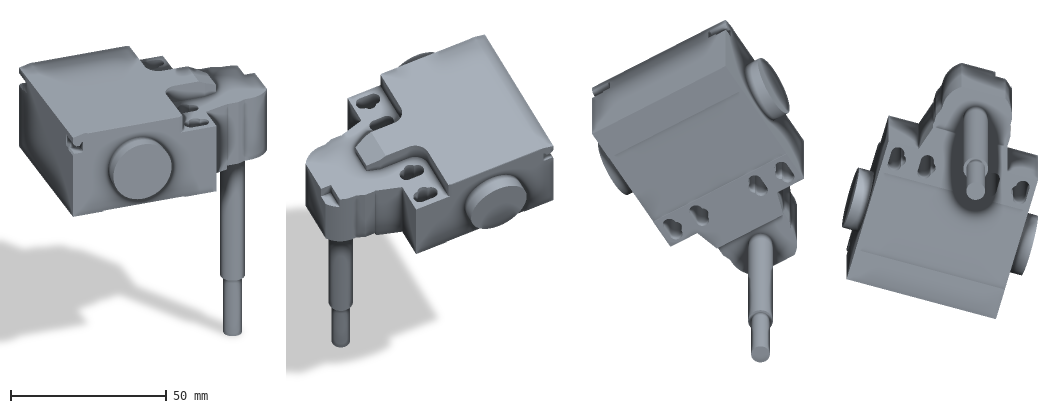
import cadquery as cq


HOUSING_WIDTH = 50.1
HOUSING_HEIGHT = 30.1
SHOULDER_Y = 49.4
LEDGE_Z = 24.0
LEDGE_Y = 37.7

NECK_ROOT_WIDTH = 29.9
NECK_END_WIDTH = 25.0
NECK_END_Y = 57.6

TONGUE_WIDTH = 10.7
TONGUE_TIP_WIDTH = 8.2
TONGUE_TAPER_Y = 52.6
TONGUE_END_Y = 56.9
TONGUE_FILLET = 4.7
SLOPE_START_Y = 50.6
SLOPE_DROP = 3.1
COVER_CORNER_LENGTH = 1.0
COVER_CORNER_INSET = 0.3
COVER_EDGE_START_Y = 5.0
COVER_EDGE_DROP = 0.3
COVER_EDGE_INSET = 0.1

FRONT_BEVEL_LENGTH = 3.8
FRONT_BEVEL_DROP = 1.0
UNDERSIDE_START_Y = 10.5
UNDERSIDE_END_Y = 38.5
UNDERSIDE_DEPTH = 0.3

SLOT_WIDTH = 4.3
SLOT_LENGTH = 8.3
SLOT_Y = 44.0
SLOT_X = (11.0, 21.0)
SLOT_BULGE_OFFSET = SLOT_WIDTH / 4

NOTCH_INNER_X = 21.0
RAMP_INNER_X = 18.3
LIP_INNER_X = 19.1
NOTCH_DEPTH = 3.5
NOTCH_TOP_DROP = 3.0
NOTCH_FLOOR_DROP = 6.9
NOTCH_REAR_BEVEL = 0.3
NOTCH_SILL_LENGTH = 0.5
NOTCH_SILL_DROP = 0.6
RAMP_DEPTH = 1.2
LIP_BOTTOM_DROP = 4.3
LIP_REAR_TOP_Y = 3.1
LIP_REAR_BOTTOM_Y = 2.3
LIP_KNEE_Y = 0.4
LIP_KNEE_DROP = 3.7

PLUG_DIAMETER = 20.0
PLUG_LENGTH = 5.0
PLUG_Y = 22.1
PLUG_Z = HOUSING_HEIGHT / 2

HEAD_BOTTOM_Z = 1.4
HEAD_END_Y = 73.2
HEAD_BASE_WIDTH = NECK_END_WIDTH
HEAD_BASE_END_Y = 61.5
HEAD_WAIST_WIDTH = 22.8
HEAD_WAIST_START_Y = 64.1
HEAD_WAIST_END_Y = 65.6
HEAD_END_WIDTH = 14.6
HEAD_BEVEL_LENGTH = 0.5
HEAD_BEVEL_INSET = 0.2
HEAD_NOTCH_X = -4.0
HEAD_NOTCH_Y = 69.7
HEAD_NOTCH_DEPTH = 4.1

SPINDLE_Y = HEAD_WAIST_START_Y
SPINDLE_DIAMETER = 8.0
SPINDLE_STEP_Z = -46.6
SPINDLE_TIP_DIAMETER = 6.1
TOTAL_HEIGHT = 97.6
SPINDLE_TIP_Z = HOUSING_HEIGHT - TOTAL_HEIGHT


def extrude_across(points, x_start, x_end):
    """Prism with a (Y, Z) outline that runs along X from x_start to x_end."""
    return cq.Workplane("YZ", origin=(x_start, 0, 0)).polyline(points).close().extrude(x_end - x_start)


def housing_block():
    """Block with the tapered neck, cut down to the ledge height."""
    half = HOUSING_WIDTH / 2
    root = NECK_ROOT_WIDTH / 2
    end = NECK_END_WIDTH / 2
    outline = [
        (-half, 0),
        (half, 0),
        (half, SHOULDER_Y),
        (root, SHOULDER_Y),
        (end, NECK_END_Y),
        (-end, NECK_END_Y),
        (-root, SHOULDER_Y),
        (-half, SHOULDER_Y),
    ]
    return cq.Workplane("XY").polyline(outline).close().extrude(LEDGE_Z)


def cover():
    """Raised cover with a filleted tongue that narrows and slopes down at its tip."""
    half = HOUSING_WIDTH / 2
    side = TONGUE_WIDTH / 2
    tip = TONGUE_TIP_WIDTH / 2
    outline = [
        (-half, 0),
        (half, 0),
        (half, LEDGE_Y - COVER_CORNER_LENGTH),
        (half - COVER_CORNER_INSET, LEDGE_Y),
        (side, LEDGE_Y),
        (side, TONGUE_TAPER_Y),
        (tip, TONGUE_END_Y),
        (-tip, TONGUE_END_Y),
        (-side, TONGUE_TAPER_Y),
        (-side, LEDGE_Y),
        (-half + COVER_CORNER_INSET, LEDGE_Y),
        (-half, LEDGE_Y - COVER_CORNER_LENGTH),
    ]
    plate = cq.Workplane("XY", origin=(0, 0, LEDGE_Z)).polyline(outline).close()
    plate = plate.extrude(HOUSING_HEIGHT - LEDGE_Z)
    for x in (-side, side):
        corner = cq.selectors.NearestToPointSelector((x, LEDGE_Y, (LEDGE_Z + HOUSING_HEIGHT) / 2))
        plate = plate.edges("|Z").edges(corner).fillet(TONGUE_FILLET)
    slope = [
        (SLOPE_START_Y, HOUSING_HEIGHT),
        (TONGUE_END_Y, HOUSING_HEIGHT),
        (TONGUE_END_Y, HOUSING_HEIGHT - SLOPE_DROP),
    ]
    return plate.cut(extrude_across(slope, -side, side))


def front_bevel():
    outline = [
        (0, HOUSING_HEIGHT),
        (FRONT_BEVEL_LENGTH, HOUSING_HEIGHT),
        (0, HOUSING_HEIGHT - FRONT_BEVEL_DROP),
    ]
    return extrude_across(outline, -HOUSING_WIDTH / 2, HOUSING_WIDTH / 2)


def cover_edge_bevel(side):
    """Fine bevel along one upper side edge of the cover."""
    edge_x = side * HOUSING_WIDTH / 2
    outline = [
        (edge_x, HOUSING_HEIGHT),
        (edge_x - side * COVER_EDGE_INSET, HOUSING_HEIGHT),
        (edge_x, HOUSING_HEIGHT - COVER_EDGE_DROP),
    ]
    profile = cq.Workplane("XZ", origin=(0, COVER_EDGE_START_Y, 0)).polyline(outline).close()
    return profile.extrude(COVER_EDGE_START_Y - LEDGE_Y)


def underside_recess():
    outline = [
        (UNDERSIDE_START_Y, 0),
        (UNDERSIDE_END_Y, 0),
        (UNDERSIDE_END_Y, UNDERSIDE_DEPTH),
        (UNDERSIDE_START_Y, UNDERSIDE_DEPTH),
    ]
    return extrude_across(outline, -HOUSING_WIDTH / 2, HOUSING_WIDTH / 2)


def mounting_slot(x, side):
    slot = cq.Workplane("XY").center(side * x, SLOT_Y).slot2D(SLOT_LENGTH, SLOT_WIDTH, 90).extrude(LEDGE_Z)
    bulge = cq.Workplane("XY").center(side * (x - SLOT_BULGE_OFFSET), SLOT_Y).circle(SLOT_WIDTH / 2)
    return slot.union(bulge.extrude(LEDGE_Z))


def pry_notch():
    """Notch in the left front corner, with a ramp beside it and the cover lip left standing."""
    top = HOUSING_HEIGHT - NOTCH_TOP_DROP
    floor = HOUSING_HEIGHT - NOTCH_FLOOR_DROP
    lip_bottom = HOUSING_HEIGHT - LIP_BOTTOM_DROP
    notch_outline = [
        (0, top),
        (0, floor - NOTCH_SILL_DROP),
        (NOTCH_SILL_LENGTH, floor),
        (NOTCH_DEPTH - NOTCH_REAR_BEVEL, floor),
        (NOTCH_DEPTH, floor + NOTCH_REAR_BEVEL),
        (NOTCH_DEPTH, top),
    ]
    ramp_outline = [
        (0, top),
        (0, floor),
        (RAMP_DEPTH, lip_bottom),
        (RAMP_DEPTH, top),
    ]
    lip_outline = [
        (0, top),
        (LIP_KNEE_Y, HOUSING_HEIGHT - LIP_KNEE_DROP),
        (RAMP_DEPTH, lip_bottom),
        (LIP_REAR_BOTTOM_Y, lip_bottom),
        (LIP_REAR_TOP_Y, top),
    ]
    notch = extrude_across(notch_outline, -HOUSING_WIDTH / 2, -NOTCH_INNER_X)
    ramp = extrude_across(ramp_outline, -NOTCH_INNER_X, -RAMP_INNER_X)
    lip = extrude_across(lip_outline, -HOUSING_WIDTH / 2, -LIP_INNER_X)
    return notch.union(ramp).cut(lip)


def make_housing():
    body = housing_block().union(cover())
    body = body.cut(front_bevel()).cut(underside_recess())
    for side in (-1, 1):
        body = body.cut(cover_edge_bevel(side))
        for x in SLOT_X:
            body = body.cut(mounting_slot(x, side))
    notch = pry_notch()
    return body.cut(notch).cut(notch.mirror("YZ"))


def make_plug(side):
    """Round plug that stands on one side face of the housing."""
    face = cq.Workplane("YZ", origin=(side * HOUSING_WIDTH / 2, PLUG_Y, PLUG_Z))
    return face.circle(PLUG_DIAMETER / 2).extrude(side * PLUG_LENGTH)


def head_block():
    """Head with a stepped waist, round flanks and a flat end."""
    base = HEAD_BASE_WIDTH / 2
    waist = HEAD_WAIST_WIDTH / 2
    end = HEAD_END_WIDTH / 2
    half = (
        cq.Workplane("XY", origin=(0, 0, HEAD_BOTTOM_Z))
        .moveTo(0, NECK_END_Y)
        .lineTo(base - HEAD_BEVEL_INSET, NECK_END_Y)
        .lineTo(base, NECK_END_Y + HEAD_BEVEL_LENGTH)
        .lineTo(base, HEAD_BASE_END_Y)
        .lineTo(waist, HEAD_WAIST_START_Y)
        .lineTo(waist, HEAD_WAIST_END_Y)
        .tangentArcPoint((end, HEAD_END_Y), relative=False)
        .lineTo(0, HEAD_END_Y)
        .close()
        .extrude(LEDGE_Z - HEAD_BOTTOM_Z)
    )
    return half.union(half.mirror("YZ"))


def head_notch():
    """Rectangular notch in the upper left far corner of the head."""
    return cq.Workplane("XY").box(
        HEAD_BASE_WIDTH / 2 + HEAD_NOTCH_X,
        HEAD_END_Y - HEAD_NOTCH_Y,
        HEAD_NOTCH_DEPTH,
        centered=False,
    ).translate((-HEAD_BASE_WIDTH / 2, HEAD_NOTCH_Y, LEDGE_Z - HEAD_NOTCH_DEPTH))


def spindle():
    """Stepped round spindle that hangs from the underside of the head."""
    shank = cq.Workplane("XY", origin=(0, SPINDLE_Y, SPINDLE_STEP_Z)).circle(SPINDLE_DIAMETER / 2)
    tip = cq.Workplane("XY", origin=(0, SPINDLE_Y, SPINDLE_TIP_Z)).circle(SPINDLE_TIP_DIAMETER / 2)
    shank = shank.extrude(HEAD_BOTTOM_Z - SPINDLE_STEP_Z)
    return shank.union(tip.extrude(SPINDLE_STEP_Z - SPINDLE_TIP_Z))


def make_head():
    return head_block().cut(head_notch()).union(spindle())


housing = make_housing()
head = make_head()
plugs = [make_plug(side) for side in (-1, 1)]

result = cq.Compound.makeCompound([housing.val(), head.val(), *[plug.val() for plug in plugs]])